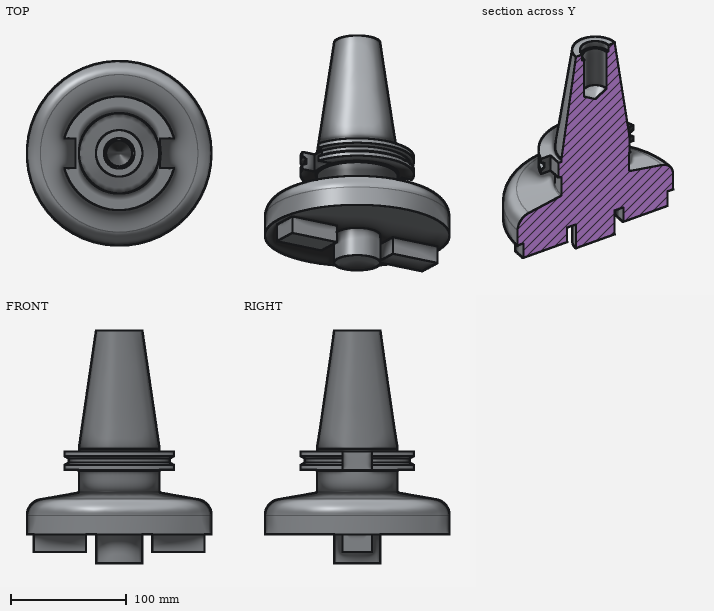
import cadquery as cq
import math

gauge_dia = 69.85
taper_ratio = 7 / 24
taper_length = 101.6
gauge_land_height = 1.0
relief_dia = 69.4
relief_fillet = 0.6

flange_dia = 98.43
flange_top_z = -3.175
flange_thickness = 15.875
groove_center_z = -11.1
groove_floor_dia = 91.3
groove_floor_width = 3.75
groove_half_angle = 30
flange_bottom_z = flange_top_z - flange_thickness

slot_width = 25.8
slot_floor_left = 37.7
slot_floor_right = 35.3
slot_overrun = 1.0

neck_dia = 70.0
neck_fillet = 1.0
disc_dia = 160.0
disc_bottom_z = -75.0
disc_shoulder_z = -38.7
disc_slope_angle = 10
disc_rim_radius = 14.3

spigot_dia = 40.0
spigot_bottom_z = -100.0
key_outer_x = 74.0
key_inner_x = 28.5
key_width = 25.4
key_height = 15.2

counterbore_dia = 26.38
counterbore_depth = 6.5
bore_dia = 22.5
bore_depth = 45.0
drill_point_angle = 118


def make_body():
    """Revolve the taper, flange, neck, disc and spigot as one profile."""
    small_end_radius = (gauge_dia - taper_length * taper_ratio) / 2
    flange_radius = flange_dia / 2
    groove_floor_radius = groove_floor_dia / 2
    groove_floor_half = groove_floor_width / 2
    groove_depth = flange_radius - groove_floor_radius
    groove_mouth_half = groove_floor_half + groove_depth * math.tan(math.radians(groove_half_angle))
    neck_radius = neck_dia / 2
    disc_radius = disc_dia / 2
    slope = math.radians(disc_slope_angle)
    rim_center_r = disc_radius - disc_rim_radius
    rim_start_r = rim_center_r + disc_rim_radius * math.sin(slope)
    rim_start_z = disc_shoulder_z - (rim_start_r - neck_radius) * math.tan(slope)
    rim_end_z = rim_start_z - disc_rim_radius * math.cos(slope)
    rim_mid_angle = (math.pi / 2 - slope) / 2
    rim_mid = (
        rim_center_r + disc_rim_radius * math.cos(rim_mid_angle),
        rim_end_z + disc_rim_radius * math.sin(rim_mid_angle),
    )
    relief_radius = relief_dia / 2
    fillet_center_r = neck_radius + neck_fillet
    fillet_center_z = disc_shoulder_z - neck_fillet * math.tan(slope) + neck_fillet / math.cos(slope)
    fillet_end = (
        fillet_center_r - neck_fillet * math.sin(slope),
        fillet_center_z - neck_fillet * math.cos(slope),
    )

    profile = (
        cq.Workplane("XZ")
        .moveTo(0, taper_length)
        .lineTo(small_end_radius, taper_length)
        .lineTo(gauge_dia / 2, 0)
        .lineTo(gauge_dia / 2, -gauge_land_height)
        .lineTo(relief_radius, -gauge_land_height)
        .lineTo(relief_radius, flange_top_z + relief_fillet)
        .radiusArc((relief_radius + relief_fillet, flange_top_z), -relief_fillet)
        .lineTo(flange_radius, flange_top_z)
        .lineTo(flange_radius, groove_center_z + groove_mouth_half)
        .lineTo(groove_floor_radius, groove_center_z + groove_floor_half)
        .lineTo(groove_floor_radius, groove_center_z - groove_floor_half)
        .lineTo(flange_radius, groove_center_z - groove_mouth_half)
        .lineTo(flange_radius, flange_bottom_z)
        .lineTo(neck_radius + neck_fillet, flange_bottom_z)
        .radiusArc((neck_radius, flange_bottom_z - neck_fillet), -neck_fillet)
        .lineTo(neck_radius, fillet_center_z)
        .radiusArc(fillet_end, -neck_fillet)
        .lineTo(rim_start_r, rim_start_z)
        .threePointArc(rim_mid, (disc_radius, rim_end_z))
        .lineTo(disc_radius, disc_bottom_z)
        .lineTo(spigot_dia / 2, disc_bottom_z)
        .lineTo(spigot_dia / 2, spigot_bottom_z)
        .lineTo(0, spigot_bottom_z)
        .close()
    )
    return profile.revolve(360, (0, 0, 0), (0, 1, 0))


def make_slot(floor_x, side):
    """Cutter for one drive slot; side is +1 for +X and -1 for -X."""
    reach = flange_dia / 2 - floor_x + slot_overrun
    return (
        cq.Workplane("XY", origin=(side * (floor_x + reach / 2), 0, flange_bottom_z))
        .rect(reach, slot_width)
        .extrude(flange_thickness)
    )


def make_key(side):
    """One drive key below the disc; side is +1 for +X and -1 for -X."""
    return (
        cq.Workplane("XY", origin=(side * (key_outer_x + key_inner_x) / 2, 0, disc_bottom_z))
        .rect(key_outer_x - key_inner_x, key_width)
        .extrude(-key_height)
    )


def make_bore():
    """Counterbored blind hole with a conical drill point."""
    bore_radius = bore_dia / 2
    bore_end_z = taper_length - bore_depth
    point_depth = bore_radius / math.tan(math.radians(drill_point_angle / 2))
    return (
        cq.Workplane("XZ")
        .moveTo(0, taper_length)
        .lineTo(counterbore_dia / 2, taper_length)
        .lineTo(counterbore_dia / 2, taper_length - counterbore_depth)
        .lineTo(bore_radius, taper_length - counterbore_depth)
        .lineTo(bore_radius, bore_end_z)
        .lineTo(0, bore_end_z - point_depth)
        .close()
        .revolve(360, (0, 0, 0), (0, 1, 0))
    )


result = make_body()
result = result.cut(make_slot(slot_floor_left, -1))
result = result.cut(make_slot(slot_floor_right, 1))
for side in (-1, 1):
    result = result.union(make_key(side))
result = result.cut(make_bore())